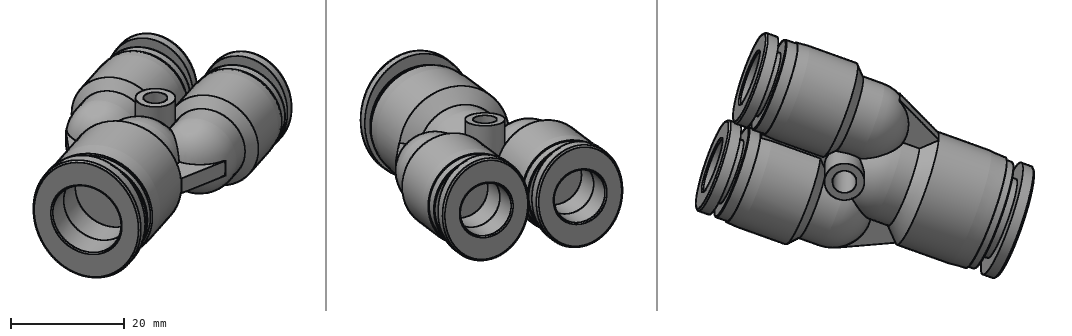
import cadquery as cq

total_length = 53.5

bore_depth = 10.7
button_length = 5.3
button_chamfer = 0.3
bore_chamfer = 0.25
collar_chamfer = 0.15

large_button_width = 20.5
large_button_height = 23.0
large_flange_thickness = 2.25
large_sleeve_diameter = 14.8
large_bore_diameter = 13.0
large_collar_diameter = 20.0
large_mouth_diameter = 20.75
large_body_diameter = 21.2
large_neck_diameter = 15.9
large_collar_start = 3.85
large_body_start = 5.35
large_taper_end = 8.4
large_cone_start = 18.3
large_cone_end = 20.85
large_dome_center = 24.1

branch_offset = 9.0
small_button_width = 16.55
small_button_height = 19.0
small_flange_thickness = 2.3
small_sleeve_diameter = 11.9
small_bore_diameter = 9.75
small_collar_diameter = 16.9
small_mouth_diameter = 17.3
small_body_diameter = 17.6
small_neck_diameter = 13.95
small_collar_start = 3.65
small_body_start = 5.85
small_taper_end = 7.9
small_cone_start = 17.05
small_cone_end = 18.85
small_dome_center = 22.8

lug_y = 32.0
lug_diameter = 7.0
lug_hole_diameter = 4.2
lug_height = small_body_diameter
web_thickness = 2.95
rib_top_x = 15.2
rib_top_y = 27.5


def make_port_shell(collar, mouth, body, neck, stations):
    """Revolve one port around Y: collar, tapered mouth, body, cone, neck and domed end."""
    collar_start, body_start, taper_end, cone_start, cone_end, dome_center = stations
    dome_radius = neck / 2
    return (
        cq.Workplane("XY")
        .moveTo(0, collar_start)
        .lineTo(collar / 2 - collar_chamfer, collar_start)
        .lineTo(collar / 2, collar_start + collar_chamfer)
        .lineTo(collar / 2, body_start)
        .lineTo(mouth / 2, body_start)
        .lineTo(body / 2, taper_end)
        .lineTo(body / 2, cone_start)
        .lineTo(dome_radius, cone_end)
        .lineTo(dome_radius, dome_center)
        .radiusArc((0, dome_center + dome_radius), -dome_radius)
        .close()
        .revolve(360, (0, 0, 0), (0, 1, 0))
    )


def cylinder_y(diameter, start, end):
    """Cylinder about the Y axis between two Y positions."""
    return cq.Workplane("XZ", origin=(0, start, 0)).circle(diameter / 2).extrude(start - end)


def make_port_cavity(sleeve_diameter, bore_diameter, collar_start):
    """Seat for the button sleeve, followed by the blind tube bore."""
    seat = cylinder_y(sleeve_diameter, collar_start, button_length)
    bore = cylinder_y(bore_diameter, button_length, bore_depth)
    return seat.union(bore)


def make_button(width, height, flange_thickness, sleeve_diameter, bore_diameter):
    """Release button: oval flange on a round sleeve, with a chamfered through bore."""
    flange = (
        cq.Workplane("XZ")
        .ellipse(width / 2, height / 2)
        .extrude(-flange_thickness)
        .faces("<Y")
        .chamfer(button_chamfer)
    )
    sleeve = cylinder_y(sleeve_diameter, flange_thickness, button_length)
    bore = cylinder_y(bore_diameter, 0, button_length)
    button = flange.union(sleeve).cut(bore)
    return button.faces("<Y").edges("%CIRCLE").chamfer(bore_chamfer)


def place_branch(shape, side):
    """Turn a port around to face +Y and move it to the left (-1) or right (+1) branch."""
    turned = shape.rotate((0, 0, 0), (0, 0, 1), 180)
    return turned.translate((side * branch_offset, total_length, 0))


def make_webs():
    """Flat plate bracing the large port to the branches, and a strip between the branches."""
    branch_mouth_y = total_length - small_body_start
    body_edge_x = large_body_diameter / 2
    ribs = (
        cq.Workplane("XY")
        .polyline([
            (-body_edge_x, large_cone_start),
            (body_edge_x, large_cone_start),
            (rib_top_x, rib_top_y),
            (-rib_top_x, rib_top_y),
        ])
        .close()
        .extrude(web_thickness / 2, both=True)
    )
    strip_length = branch_mouth_y - lug_y
    strip = (
        cq.Workplane("XY")
        .center(0, lug_y + strip_length / 2)
        .rect(2 * branch_offset, strip_length)
        .extrude(web_thickness / 2, both=True)
    )
    return ribs.union(strip)


def make_housing():
    large_shell = make_port_shell(
        large_collar_diameter, large_mouth_diameter, large_body_diameter, large_neck_diameter,
        (large_collar_start, large_body_start, large_taper_end,
         large_cone_start, large_cone_end, large_dome_center),
    )
    small_shell = make_port_shell(
        small_collar_diameter, small_mouth_diameter, small_body_diameter, small_neck_diameter,
        (small_collar_start, small_body_start, small_taper_end,
         small_cone_start, small_cone_end, small_dome_center),
    )
    lug = cq.Workplane("XY").center(0, lug_y).circle(lug_diameter / 2).extrude(lug_height / 2, both=True)
    body = large_shell.union(make_webs()).union(lug)
    for side in (-1, 1):
        body = body.union(place_branch(small_shell, side))

    body = body.cut(make_port_cavity(large_sleeve_diameter, large_bore_diameter, large_collar_start))
    small_cavity = make_port_cavity(small_sleeve_diameter, small_bore_diameter, small_collar_start)
    for side in (-1, 1):
        body = body.cut(place_branch(small_cavity, side))

    lug_hole = (
        cq.Workplane("XY").center(0, lug_y).circle(lug_hole_diameter / 2).extrude(lug_height, both=True)
    )
    return body.cut(lug_hole)


housing = make_housing()

large_button = make_button(
    large_button_width, large_button_height, large_flange_thickness,
    large_sleeve_diameter, large_bore_diameter,
)

small_button = make_button(
    small_button_width, small_button_height, small_flange_thickness,
    small_sleeve_diameter, small_bore_diameter,
)
small_buttons = []
for branch_side in (-1, 1):
    small_buttons.append(place_branch(small_button, branch_side).val())

result = cq.Compound.makeCompound([housing.val(), large_button.val(), *small_buttons])